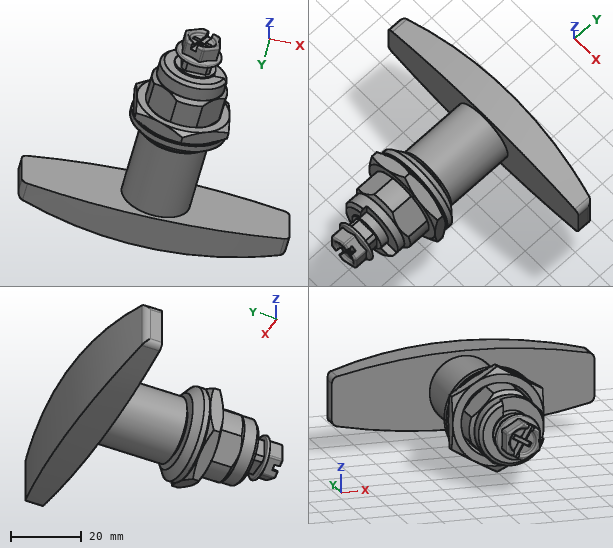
import cadquery as cq
import math


GRIP_LENGTH = 78.0
GRIP_WIDTH = 23.0
GRIP_TIP_WIDTH = 14.05
GRIP_HEIGHT = 10.0
GRIP_TIP_HEIGHT = 5.3
GRIP_TIP_ROUND = 2.0
STEM_DIAMETER = 20.0
STEM_END = -21.9
NECK_DIAMETER = 15.8
JOURNAL_DIAMETER = 11.9
JOURNAL_END = -45.4
DRIVE_WIDTH = 8.3
DRIVE_CORNER_DIAMETER = 10.15

FLANGE_DIAMETER = 28.0
FLANGE_FACE_DIAMETER = 22.6
FLANGE_FRONT = -23.1
FLANGE_RIM = -25.35
FLANGE_BACK = -27.15
BODY_DIAMETER = 22.0
BODY_ACROSS_FLATS = 20.0
BODY_END = -40.0
BODY_CHAMFER = 1.2
BORE_DIAMETER = 12.0
TAIL_DIAMETER = 19.8
TAIL_END = -44.9
TAIL_CHAMFER = 1.0
NOTCH_FLOOR = -42.6
NOTCH_OFFSET = 3.0

NUT_ACROSS_FLATS = 27.0
NUT_FACE_THICKNESS = 0.4
NUT_END = -31.6
NUT_CHAMFER_ANGLE = 27.0
NUT_BORE_DIAMETER = 20.35
NUT_COUNTERSINK_DEPTH = 0.8

SCREW_FLANGE_DIAMETER = 13.3
SCREW_FLANGE_TOP = -48.9
SCREW_RIM_RADIUS = 0.5
SCREW_FLANGE_SLOPE = 20.0
SCREW_ACROSS_FLATS = 10.0
SCREW_CORNER_ROUND = 0.6
SCREW_END = GRIP_HEIGHT - 64.5
SCREW_END_ROUND = 0.6
RECESS_DIAMETER = 7.7
RECESS_DEPTH = 1.2
RECESS_RIM_ROUND = 0.6
RECESS_FLOOR_ROUND = 0.5
SLOT_WIDTH = 1.7
SLOT_DEPTH = 1.9
SLOT_ANGLE = 60.0
CROSS_SLOT_LENGTH = 5.6
CROSS_SLOT_WIDTH = 1.25
CROSS_SLOT_DEPTH = 2.35


def plane_at(y):
    """Sketch plane across the axis: local x is X, local y is Z, extrusion goes towards -Y."""
    return cq.Workplane("XZ", origin=(0, y, 0))


def cylinder(diameter, start, end):
    return plane_at(start).circle(diameter / 2).extrude(start - end)


def cone(start_diameter, start, end_diameter, end):
    """Frustum on the axis."""
    outline = [(0, start), (start_diameter / 2, start), (end_diameter / 2, end), (0, end)]
    return cq.Workplane("XY").polyline(outline).close().revolve(360, (0, 0), (0, 1))


def hexagon(across_flats, start, end):
    """Hexagonal bar with two of its corners on the Z axis."""
    corner_circle = across_flats / math.cos(math.radians(30))
    bar = plane_at(start).polygon(6, corner_circle).extrude(start - end)
    return bar.rotate((0, 0, 0), (0, 1, 0), 30)


def nut_bore():
    """Nut's bore with its countersink; the threaded body fills the same shape."""
    countersink_start = NUT_END + NUT_COUNTERSINK_DEPTH
    return cylinder(NUT_BORE_DIAMETER, FLANGE_BACK, countersink_start).union(
        cone(NUT_BORE_DIAMETER, countersink_start, BODY_DIAMETER, NUT_END)
    )


def make_grip():
    half_length = GRIP_LENGTH / 2
    half_width = GRIP_WIDTH / 2
    half_tip = GRIP_TIP_WIDTH / 2
    plan = (
        plane_at(GRIP_HEIGHT)
        .moveTo(-half_length, -half_tip)
        .threePointArc((0, -half_width), (half_length, -half_tip))
        .lineTo(half_length, half_tip)
        .threePointArc((0, half_width), (-half_length, half_tip))
        .close()
        .extrude(GRIP_HEIGHT)
        .edges("|Y")
        .fillet(GRIP_TIP_ROUND)
    )
    crown = (
        cq.Workplane("XY")
        .moveTo(-half_length, 0)
        .lineTo(half_length, 0)
        .lineTo(half_length, GRIP_TIP_HEIGHT)
        .threePointArc((0, GRIP_HEIGHT), (-half_length, GRIP_TIP_HEIGHT))
        .close()
        .extrude(half_width, both=True)
        .edges("|Z")
        .edges(">Y")
        .fillet(GRIP_TIP_ROUND)
    )
    return plan.intersect(crown)


def make_handle():
    drive_length = JOURNAL_END - SCREW_FLANGE_TOP
    drive = plane_at(JOURNAL_END).rect(DRIVE_WIDTH, DRIVE_WIDTH).extrude(drive_length)
    drive = drive.intersect(cylinder(DRIVE_CORNER_DIAMETER, JOURNAL_END, SCREW_FLANGE_TOP))
    return (
        make_grip()
        .union(cylinder(STEM_DIAMETER, 0, STEM_END))
        .union(cylinder(NECK_DIAMETER, STEM_END, FLANGE_FRONT))
        .union(cylinder(JOURNAL_DIAMETER, FLANGE_FRONT, JOURNAL_END))
        .union(drive)
    )


def make_housing():
    flange = cone(FLANGE_FACE_DIAMETER, FLANGE_FRONT, FLANGE_DIAMETER, FLANGE_RIM).union(
        cylinder(FLANGE_DIAMETER, FLANGE_RIM, FLANGE_BACK)
    )
    body = cylinder(BODY_DIAMETER, NUT_END, BODY_END).faces("<Y").chamfer(BODY_CHAMFER).union(nut_bore())
    flats = (
        plane_at(FLANGE_BACK)
        .rect(BODY_ACROSS_FLATS, BODY_ACROSS_FLATS)
        .extrude(FLANGE_BACK - BODY_END)
        .rotate((0, 0, 0), (0, 1, 0), 45)
    )
    tail = cylinder(TAIL_DIAMETER, BODY_END, TAIL_END).faces("<Y").chamfer(TAIL_CHAMFER)
    notch = (
        plane_at(NOTCH_FLOOR)
        .move(-NOTCH_OFFSET, -NOTCH_OFFSET)
        .rect(TAIL_DIAMETER, TAIL_DIAMETER, centered=False)
        .extrude(NOTCH_FLOOR - TAIL_END)
    )
    bore = cylinder(BORE_DIAMETER, FLANGE_FRONT, TAIL_END)
    return flange.union(body.intersect(flats)).union(tail.cut(notch)).cut(bore)


def make_nut():
    hex_start = FLANGE_BACK - NUT_FACE_THICKNESS
    middle = (hex_start + NUT_END) / 2
    slope = math.tan(math.radians(NUT_CHAMFER_ANGLE))
    widest = NUT_ACROSS_FLATS + 2 * (hex_start - middle) / slope
    double_cone = cone(NUT_ACROSS_FLATS, hex_start, widest, middle).union(
        cone(widest, middle, NUT_ACROSS_FLATS, NUT_END)
    )
    return (
        hexagon(NUT_ACROSS_FLATS, hex_start, NUT_END)
        .intersect(double_cone)
        .union(cylinder(NUT_ACROSS_FLATS, FLANGE_BACK, hex_start))
        .cut(nut_bore())
    )


def head_slot(length, width, depth, angle):
    return (
        plane_at(SCREW_END + depth)
        .rect(length, width)
        .extrude(depth)
        .rotate((0, 0, 0), (0, 1, 0), -angle)
    )


def make_screw_flange():
    """Washer-like flange with a round rim that runs tangentially into a cone under the head."""
    slope = math.radians(SCREW_FLANGE_SLOPE)
    rim_center = SCREW_FLANGE_DIAMETER / 2 - SCREW_RIM_RADIUS
    rim_middle = SCREW_FLANGE_TOP - SCREW_RIM_RADIUS
    cone_radius = rim_center + SCREW_RIM_RADIUS * math.sin(slope)
    cone_start = rim_middle - SCREW_RIM_RADIUS * math.cos(slope)
    head_radius = SCREW_ACROSS_FLATS / 2
    cone_end = cone_start - (cone_radius - head_radius) * math.tan(slope)
    return (
        cq.Workplane("XY")
        .moveTo(0, SCREW_FLANGE_TOP)
        .lineTo(rim_center, SCREW_FLANGE_TOP)
        .threePointArc((SCREW_FLANGE_DIAMETER / 2, rim_middle), (cone_radius, cone_start))
        .lineTo(head_radius, cone_end)
        .lineTo(0, cone_end)
        .close()
        .revolve(360, (0, 0), (0, 1))
    )


def head_recess():
    """Round recess with a rounded floor edge and a mouth that flares out to the head's end."""
    radius = RECESS_DIAMETER / 2
    floor = SCREW_END + RECESS_DEPTH
    return (
        cq.Workplane("XY")
        .moveTo(0, floor)
        .lineTo(radius - RECESS_FLOOR_ROUND, floor)
        .tangentArcPoint((radius, floor - RECESS_FLOOR_ROUND), relative=False)
        .lineTo(radius, SCREW_END + RECESS_RIM_ROUND)
        .tangentArcPoint((radius + RECESS_RIM_ROUND, SCREW_END), relative=False)
        .lineTo(0, SCREW_END)
        .close()
        .revolve(360, (0, 0), (0, 1))
    )


def make_screw_head():
    slot = head_slot(2 * SCREW_ACROSS_FLATS, SLOT_WIDTH, SLOT_DEPTH, SLOT_ANGLE)
    cross_slot = head_slot(CROSS_SLOT_LENGTH, CROSS_SLOT_WIDTH, CROSS_SLOT_DEPTH, SLOT_ANGLE + 90)
    return (
        hexagon(SCREW_ACROSS_FLATS, SCREW_FLANGE_TOP - SCREW_RIM_RADIUS, SCREW_END)
        .edges("|Y")
        .fillet(SCREW_CORNER_ROUND)
        .faces("<Y")
        .edges()
        .fillet(SCREW_END_ROUND)
        .cut(head_recess())
        .cut(slot)
        .cut(cross_slot)
    )


def make_screw():
    return make_screw_flange().union(make_screw_head())


handle = make_handle()
housing = make_housing()
nut = make_nut()
screw = make_screw()

result = cq.Compound.makeCompound([handle.val(), housing.val(), nut.val(), screw.val()])